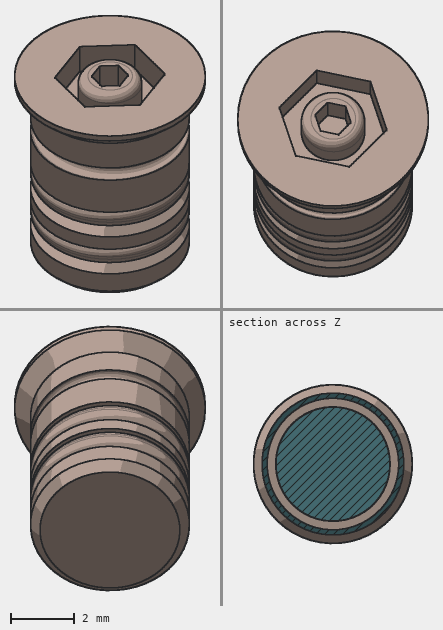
import cadquery as cq
import math

height = 7.0
unit = height / 70
flange_radius = 30 * unit
body_radius = 25 * unit
flange_rim = 2 * unit
cone_height = flange_radius - body_radius
bottom_chamfer = 3 * unit

relief_radius = 2.5 * unit
relief_depth = 3 * unit
relief_center_z = height - 19.5 * unit

ring_size = 7 * unit
ring_rounding = 3 * unit
flare = 3 * unit
groove_tops = [height - 35 * unit, height - 50 * unit]
groove_floor_radius = body_radius - ring_size

socket_across_flats = 30 * unit
socket_depth = 10 * unit
stud_radius = 10 * unit
stud_rounding = 3 * unit
stud_hex_across_flats = 10 * unit
stud_hex_depth = socket_depth


def hexagon_prism(across_flats, depth):
    """Hexagonal prism hanging from the top face, with corners on +Y and -Y."""
    across_corners = across_flats / math.cos(math.radians(30))
    prism = cq.Workplane("XY").polygon(6, across_corners).extrude(depth)
    return prism.rotate((0, 0, 0), (0, 0, 1), 30).translate((0, 0, height - depth))


def make_blank():
    """Flanged cylinder with a countersunk head and a chamfered bottom."""
    rim_bottom = height - flange_rim
    return (
        cq.Workplane("XZ")
        .moveTo(0, 0)
        .lineTo(body_radius - bottom_chamfer, 0)
        .lineTo(body_radius, bottom_chamfer)
        .lineTo(body_radius, rim_bottom - cone_height)
        .lineTo(flange_radius, rim_bottom)
        .lineTo(flange_radius, height)
        .lineTo(0, height)
        .close()
        .revolve(360, (0, 0, 0), (0, 1, 0))
    )


def relief_groove():
    """Groove with a half-round bottom and short straight sides."""
    arc_center = body_radius - relief_depth + relief_radius
    top = relief_center_z + relief_radius
    bottom = relief_center_z - relief_radius
    return (
        cq.Workplane("XZ")
        .moveTo(flange_radius, bottom)
        .lineTo(arc_center, bottom)
        .threePointArc((body_radius - relief_depth, relief_center_z), (arc_center, top))
        .lineTo(flange_radius, top)
        .close()
        .revolve(360, (0, 0, 0), (0, 1, 0))
    )


def seal_groove(top):
    """Square seal seat whose lower side flares out to the body surface."""
    seat_bottom = top - ring_size
    return (
        cq.Workplane("XZ")
        .moveTo(groove_floor_radius, top)
        .lineTo(body_radius, top)
        .lineTo(body_radius, seat_bottom - flare)
        .lineTo(body_radius - flare, seat_bottom)
        .lineTo(groove_floor_radius, seat_bottom)
        .close()
        .revolve(360, (0, 0, 0), (0, 1, 0))
    )


def make_stud():
    """Round-edged stud standing on the socket floor, flush with the top face."""
    stud = (
        cq.Workplane("XY", origin=(0, 0, height - socket_depth))
        .circle(stud_radius)
        .extrude(socket_depth)
        .faces(">Z")
        .edges()
        .fillet(stud_rounding)
    )
    return stud.cut(hexagon_prism(stud_hex_across_flats, stud_hex_depth))


def make_plug():
    """Plug body with its grooves, socket and integral stud."""
    plug = make_blank().cut(relief_groove())
    for top in groove_tops:
        plug = plug.cut(seal_groove(top))
    plug = plug.cut(hexagon_prism(socket_across_flats, socket_depth))
    return plug.union(make_stud())


def make_seal_ring(top):
    """Seal ring with a rounded square section, seated in its groove."""
    return (
        cq.Workplane("XY", origin=(0, 0, top - ring_size))
        .circle(body_radius)
        .circle(groove_floor_radius)
        .extrude(ring_size)
        .edges("%CIRCLE")
        .fillet(ring_rounding)
    )


plug = make_plug()
seal_rings = [make_seal_ring(top) for top in groove_tops]

result = cq.Compound.makeCompound([plug.val(), *[ring.val() for ring in seal_rings]])